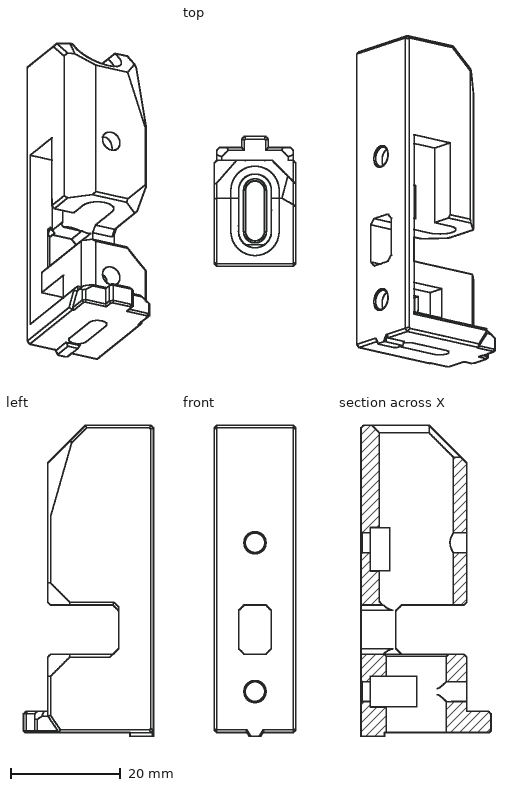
import cadquery as cq
import math

width = 14.9
depth = 19.25
height = 55.9
edge = 0.5
slope_run = 6.85

notch_bottom = 14.25
notch_top = 23.2
notch_front = 6.35
notch_bevel = 1.1
window_width = 5.85
window_bevel = 0.95

relief_height = 3.0
relief_run = 2.05

corner_cut = 4.5
tall_cut_x = 4.1
tall_cut_y = 4.65
tall_cut_z = 11.6
side_bevel = 4.3
facet_angle = 30.0
facet_start = 2.55

plate_width = 13.9
plate_top = 3.9
plate_back = 21.6
plate_overlap = 3.4
plate_corner = 2.6
plate_side_bevel = 0.9
plate_foot_bevel = 0.35
nub_width = 4.85
nub_back = 23.65

rail_height = 0.7
rail_length = 4.3
rail_top_width = 3.5
rail_bottom_width = 2.05
rail_bevel = 0.2

slot_front_centre = 6.35
slot_back_centre = 13.8
wide_slot = 5.95
wide_slot_bevel = 1.4
narrow_slot = 3.4
narrow_slot_bevel = 0.4
ramp_size = 0.55

flare_start = 0.85
side_wall = 3.8
step_wall = 5.1

hole_diameter = 3.55
hole_bevel = 0.2
lower_hole = 7.45
upper_hole = 34.5
pocket_half = 2.8
pocket_back = 10.2
upper_pocket_drop = 5.1

half = width / 2
slope_front = depth - slope_run
slope_bottom = height - slope_run
window_half = window_width / 2
window_middle = (notch_bottom + notch_top) / 2
slot_middle = (slot_front_centre + slot_back_centre) / 2
slot_travel = slot_back_centre - slot_front_centre
front_wall = flare_start + side_wall - window_half
margin = 0.05


def corner_box(low, high):
    """Box between two opposite corners."""
    size = [b - a for a, b in zip(low, high)]
    return cq.Workplane("XY", origin=low).box(*size, centered=False)


def near(low, high):
    """Selector for edges centred between two corners, widened by the margin."""
    return cq.selectors.BoxSelector(
        [a - margin for a in low],
        [b + margin for b in high],
    )


def beyond(origin, normal):
    """Large solid filling the space on the far side of a plane."""
    plane = cq.Plane(origin=origin, normal=normal)
    return cq.Workplane(plane).rect(3 * height, 3 * height).extrude(height)


def block():
    side = [
        (0, 0),
        (0, height),
        (slope_front, height),
        (depth, slope_bottom),
        (depth, notch_top),
        (notch_front + notch_bevel, notch_top),
        (notch_front, notch_top - notch_bevel),
        (notch_front, notch_bottom + notch_bevel),
        (notch_front + notch_bevel, notch_bottom),
        (depth, notch_bottom),
        (depth, relief_height),
        (depth - relief_run, 0),
    ]
    solid = cq.Workplane("YZ").polyline(side).close().extrude(half, both=True)
    solid = solid.faces("<Y").edges("|X").chamfer(edge)
    lips = near((-half, depth, notch_bottom), (half, depth, notch_top))
    solid = solid.edges("|X").edges(lips).chamfer(edge)

    whole = near((-half, 0, 0), (half, depth, height))
    sharp = near(
        (-half, notch_front, notch_bottom),
        (half, notch_front + notch_bevel / 2, notch_top - notch_bevel),
    )
    outline = cq.selectors.SubtractSelector(whole, sharp)
    return solid.faces("<X or >X").edges(outline).chamfer(edge)


def cut_notch_corners(solid):
    """45 degree corners on the -X side, above and below the notch."""
    for z, up in ((notch_top, 1), (notch_bottom, -1)):
        reach = cq.Workplane("XY", origin=(-half, depth, z + up * corner_cut / 2)).box(
            2 * corner_cut, 2 * corner_cut, corner_cut)
        corner = beyond((-half, depth - corner_cut, z), (-1, 1, -up))
        solid = solid.cut(corner.intersect(reach))
    return solid


def cut_tall_corner(solid):
    """Long corner where the slope, the -X side and the back face meet."""
    on_crease = cq.Vector(-half + tall_cut_x, depth, slope_bottom)
    on_slope = cq.Vector(-half, depth - tall_cut_y, slope_bottom + tall_cut_y)
    on_back = cq.Vector(-half, depth, slope_bottom - tall_cut_z)
    normal = (on_back - on_crease).cross(on_slope - on_crease)
    return solid.cut(beyond(on_crease.toTuple(), normal.toTuple()))


def cut_side_corner(solid):
    """Upright bevel on the +X side above the plate, and the turned facet beside the slope."""
    above_plate = corner_box((-width, -depth, plate_top), (width, 2 * depth, height))
    bevel = beyond((half - side_bevel, depth, 0), (1, 1, 0))
    solid = solid.cut(bevel.intersect(above_plate))

    turn = math.radians(facet_angle)
    tip = (half - facet_start, slope_front, height)
    solid = solid.cut(beyond(tip, (math.sin(turn), math.cos(turn), 1)))
    facet_edge = near((half, slope_front, slope_bottom), (half, depth, height - edge))
    return solid.edges(facet_edge).chamfer(edge)


def window():
    """Front opening whose +X wall flares at 45 degrees until it meets the side opening."""
    straight = (
        cq.Workplane("XZ", origin=(0, 0, window_middle))
        .rect(window_width, notch_top - notch_bottom)
        .extrude(-notch_front - notch_bevel)
        .edges("|Y").chamfer(window_bevel)
    )
    outline = straight.faces("<Y").wires().val().translate(cq.Vector(0, flare_start, 0))
    flare = cq.Solid.extrudeLinear(outline, [], cq.Vector(half, half, 0))
    inside = corner_box((-width, 0, 0), (side_wall, depth, height))
    return straight.union(cq.Workplane(flare).intersect(inside))


def side_opening():
    """Continues the notch through the +X side, with a step down to the plate."""
    outline = [
        (side_wall, front_wall),
        (half, front_wall),
        (half, depth),
        (window_half, depth),
        (window_half, side_wall),
        (side_wall, side_wall),
    ]
    opening = (
        cq.Workplane("XY", origin=(0, 0, notch_bottom))
        .polyline(outline).close().extrude(notch_top - notch_bottom)
    )
    step = corner_box((step_wall, front_wall, plate_top), (half, depth, notch_bottom))
    upper = corner_box((window_half, front_wall, notch_top), (half, pocket_back, upper_hole))
    return opening.union(step).union(upper)


def slot(slot_width, bottom, rise, taper=0):
    """Upright slot along Y; a positive taper narrows it as it rises."""
    return (
        cq.Workplane("XY", origin=(0, slot_middle, bottom))
        .slot2D(slot_travel + slot_width, slot_width, 90)
        .extrude(rise, taper=taper)
    )


def slot_mouth():
    """Flared mouth of the wide slot: level on the flat top, sheared to follow the slope."""
    flare = slot(wide_slot, height - wide_slot_bevel, wide_slot_bevel + edge, taper=-45)
    level = flare.intersect(corner_box((-half, 0, 0), (half, slope_front, 2 * height)))
    tilted = flare.intersect(corner_box((-half, slope_front, 0), (half, 2 * depth, 2 * height)))
    shear = cq.Matrix([[1, 0, 0, 0], [0, 1, 0, 0], [0, -1, 1, slope_front]])
    return level.union(cq.Workplane(tilted.val().transformGeometry(shear)))


def narrow_slot_cut():
    """Slot through the lower block with a bevelled rim on the notch floor."""
    bore = slot(narrow_slot, 0, notch_bottom)
    rim = slot(narrow_slot, notch_bottom - narrow_slot_bevel, narrow_slot_bevel, taper=-45)
    return bore.union(rim)


def ramp():
    """Small sloped lip at the foot of the wide slot, above the window."""
    back = slot_front_centre - wide_slot / 2 + ramp_size
    front = back - 2 * ramp_size
    profile = [
        (front, notch_top),
        (back, notch_top),
        (front, notch_top + 2 * ramp_size),
    ]
    return cq.Workplane("YZ").polyline(profile).close().extrude(window_half - ramp_size, both=True)


def latch_plate():
    front = depth - plate_overlap
    plate = corner_box((-plate_width / 2, front, 0), (plate_width / 2, plate_back, plate_top))
    plate = plate.edges("|Z and >Y").chamfer(edge)
    plate = plate.edges("|Y and >Z").chamfer(plate_side_bevel)
    nub = corner_box((-nub_width / 2, front, 0), (nub_width / 2, nub_back, plate_top))
    nub = nub.edges("|Z and >Y").chamfer(edge)
    latch = plate.union(nub)

    rear_rim = near((-half, plate_back, plate_top), (half, nub_back, plate_top))
    latch = latch.faces(">Z").edges(rear_rim).chamfer(edge)
    for side in (-1, 1):
        corner = (side * (plate_width / 2 - plate_corner), plate_back, plate_top)
        latch = latch.cut(beyond(corner, (side, 1, math.sqrt(2))))
    return latch.faces("<Z").edges().chamfer(plate_foot_bevel)


def rail():
    profile = [
        (-rail_top_width / 2, edge),
        (rail_top_width / 2, edge),
        (rail_bottom_width / 2, -rail_height),
        (-rail_bottom_width / 2, -rail_height),
    ]
    bar = cq.Workplane("XZ").polyline(profile).close().extrude(-rail_length)
    return bar.faces("<Y").edges("not |X").chamfer(rail_bevel)


def cross_hole(z):
    """Hole through the whole part along Y with a bevelled front rim."""
    axis = cq.Workplane("XZ", origin=(0, 0, z))
    bore = axis.circle(hole_diameter / 2).extrude(-nub_back)
    rim = axis.circle(hole_diameter / 2 + hole_bevel).extrude(-hole_bevel, taper=45)
    return bore.union(rim)


def fastener_pocket(z, drop):
    """Pocket behind the front wall, reached from the +X side."""
    return corner_box((-pocket_half, front_wall, z - drop), (half, pocket_back, z + pocket_half))


body = cut_side_corner(cut_tall_corner(cut_notch_corners(block())))

body = body.cut(window()).cut(side_opening())
body = body.cut(slot(wide_slot, notch_bottom, height)).cut(slot_mouth())
body = body.union(ramp())
step_edge = near((half, front_wall, plate_top), (half, depth, plate_top))
body = body.edges(step_edge).chamfer(edge)

body = body.union(latch_plate()).union(rail())
body = body.cut(narrow_slot_cut())
for hole_height, pocket_drop in ((lower_hole, pocket_half), (upper_hole, upper_pocket_drop)):
    body = body.cut(cross_hole(hole_height))
    body = body.cut(fastener_pocket(hole_height, pocket_drop))

result = body